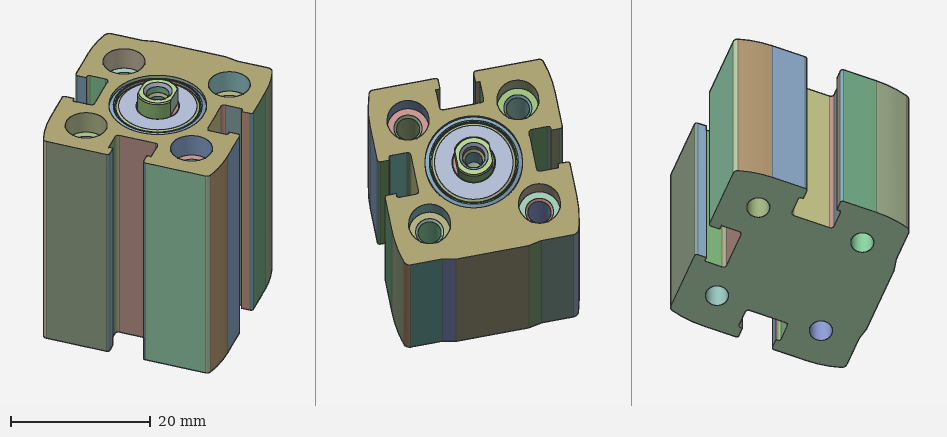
import cadquery as cq
import math

total_height = 38.0
rod_exposed = 2.5
housing_height = total_height - rod_exposed
housing_width = 27.0
half_width = housing_width / 2
housing_depth = 27.5
front_y = -half_width
pad_y = front_y + housing_depth
shoulder_y = 13.6

flank_flat_half = 8.0
flank_radius = 16.72
front_corner_radius = 0.7
rear_corner_radius = 0.9
pad_half_width = 5.32
pad_base_half_width = 7.22

slot_floor_offset = 8.63
slot_half_width = 3.23
slot_mouth_half_width = 2.6
slot_lip = 1.7
slot_floor_fillet = 0.5
slot_inner_fillet = 0.3
slot_mouth_round = 0.38

mount_offset = 8.0
mount_bore_dia = 3.3
mount_chamfer_dia = 4.03
mount_counterbore_dia = 6.0
mount_counterbore_depth = 3.5

groove_radius = 14.0 / 2
groove_depth = 0.55
crest_outer_radius = 6.4
crest_inner_radius = 6.2
crest_depth = 0.15
cap_rim_depth = 0.57
cap_bevel_radius = 12.0 / 2
cap_bevel_depth = 0.38
cap_face_radius = 5.62
cap_face_depth = 0.2
cap_face_z = housing_height - cap_face_depth

rod_radius = 6.0 / 2
rod_length = 15.2
rod_bottom_z = total_height - rod_length
rod_top_chamfer = 0.2
rod_hole_chamfer = 0.1
flat_half_width = 2.5
flat_runout_angle = 30.0
thread_chamfer_radius = 4.15 / 2
thread_recess_radius = 3.23 / 2
thread_recess_depth = 1.52
thread_core_radius = 2.47 / 2
thread_core_depth = 6.08
drill_tip_angle = 30.0


def flank_x(y):
    """Half width of the housing on the curved part of a flank."""
    return half_width - flank_radius + math.sqrt(flank_radius**2 - (abs(y) - flank_flat_half) ** 2)


def housing_blank():
    """Solid profile with curved flanks, rounded corners and the +Y pad."""
    front_x = flank_x(front_y)
    rear_x = flank_x(shoulder_y)
    front_mid_y = (front_y - flank_flat_half) / 2
    rear_mid_y = (shoulder_y + flank_flat_half) / 2
    front_mid_x = flank_x(front_mid_y)
    rear_mid_x = flank_x(rear_mid_y)
    blank = (
        cq.Workplane("XY")
        .moveTo(-front_x, front_y)
        .lineTo(front_x, front_y)
        .threePointArc((front_mid_x, front_mid_y), (half_width, -flank_flat_half))
        .lineTo(half_width, flank_flat_half)
        .threePointArc((rear_mid_x, rear_mid_y), (rear_x, shoulder_y))
        .lineTo(-rear_x, shoulder_y)
        .threePointArc((-rear_mid_x, rear_mid_y), (-half_width, flank_flat_half))
        .lineTo(-half_width, -flank_flat_half)
        .threePointArc((-front_mid_x, front_mid_y), (-front_x, front_y))
        .close()
        .extrude(housing_height)
    )
    corner_pairs = (
        (front_x, front_y, front_corner_radius),
        (rear_x, shoulder_y, rear_corner_radius),
    )
    for corner_x, corner_y, corner_radius in corner_pairs:
        for x in (-corner_x, corner_x):
            corner_edge = cq.selectors.NearestToPointSelector((x, corner_y, housing_height / 2))
            blank = blank.edges(corner_edge).fillet(corner_radius)
    pad = (
        cq.Workplane("XY")
        .polyline([
            (-pad_base_half_width, shoulder_y),
            (-pad_half_width, pad_y),
            (pad_half_width, pad_y),
            (pad_base_half_width, shoulder_y),
        ])
        .close()
        .extrude(housing_height)
    )
    return blank.union(pad)


def slot_cutter(inner_fillet):
    """Slot open towards -Y, with a rounded floor and mouth; an inner fillet of 0 leaves sharp lip roots."""
    lip_y = front_y + slot_lip
    channel_depth = -slot_floor_offset - lip_y
    channel = (
        cq.Workplane("XY")
        .center(0, lip_y + channel_depth / 2)
        .rect(2 * slot_half_width, channel_depth)
        .extrude(housing_height)
        .edges("|Z and >Y")
        .fillet(slot_floor_fillet)
    )
    if inner_fillet:
        channel = channel.edges("|Z and <Y").fillet(inner_fillet)
    rounded_mouth_half_width = slot_mouth_half_width + slot_mouth_round
    round_start_y = front_y + slot_mouth_round
    arc_inset = slot_mouth_round * (1 - math.sqrt(0.5))
    arc_mid_x = slot_mouth_half_width + arc_inset
    arc_mid_y = front_y + arc_inset
    mouth = (
        cq.Workplane("XY")
        .moveTo(-slot_mouth_half_width, lip_y)
        .lineTo(slot_mouth_half_width, lip_y)
        .lineTo(slot_mouth_half_width, round_start_y)
        .threePointArc((arc_mid_x, arc_mid_y), (rounded_mouth_half_width, front_y))
        .lineTo(-rounded_mouth_half_width, front_y)
        .threePointArc((-arc_mid_x, arc_mid_y), (-slot_mouth_half_width, round_start_y))
        .close()
        .extrude(housing_height)
    )
    return channel.union(mouth)


def mounting_hole():
    """Through hole with a chamfered edge at the floor of its counterbore, on the Z axis."""
    bore_radius = mount_bore_dia / 2
    chamfer_radius = mount_chamfer_dia / 2
    counterbore_radius = mount_counterbore_dia / 2
    floor_z = housing_height - mount_counterbore_depth
    return (
        cq.Workplane("XZ")
        .polyline([
            (0, 0),
            (bore_radius, 0),
            (bore_radius, floor_z - (chamfer_radius - bore_radius)),
            (chamfer_radius, floor_z),
            (counterbore_radius, floor_z),
            (counterbore_radius, housing_height),
            (0, housing_height),
        ])
        .close()
        .revolve(360, (0, 0), (0, 1))
    )


def cap_recess():
    """Recess that shapes the end cap and bores the blind hole for the rod."""
    return (
        cq.Workplane("XZ")
        .polyline([
            (0, rod_bottom_z),
            (rod_radius, rod_bottom_z),
            (rod_radius, cap_face_z - rod_hole_chamfer),
            (rod_radius + rod_hole_chamfer, cap_face_z),
            (cap_face_radius, cap_face_z),
            (cap_bevel_radius, housing_height - cap_bevel_depth),
            (crest_inner_radius, housing_height - cap_rim_depth),
            (crest_inner_radius, housing_height - crest_depth),
            (crest_outer_radius, housing_height - crest_depth),
            (groove_radius, housing_height - groove_depth),
            (groove_radius, housing_height),
            (0, housing_height),
        ])
        .close()
        .revolve(360, (0, 0), (0, 1))
    )


def make_housing():
    housing = housing_blank()
    side_slot = slot_cutter(slot_inner_fillet)
    for angle in (-90, 90):
        housing = housing.cut(side_slot.rotate((0, 0, 0), (0, 0, 1), angle))
    housing = housing.cut(slot_cutter(0))
    for x in (-mount_offset, mount_offset):
        for y in (-mount_offset, mount_offset):
            housing = housing.cut(mounting_hole().translate((x, y, 0)))
    return housing.cut(cap_recess())


def thread_hole():
    """Chamfered recess stepping down to the thread core and a conical drill tip."""
    chamfer_bottom_z = total_height - (thread_chamfer_radius - thread_recess_radius)
    recess_bottom_z = total_height - thread_recess_depth
    core_top_z = recess_bottom_z - (thread_recess_radius - thread_core_radius)
    core_bottom_z = total_height - thread_core_depth
    tip_z = core_bottom_z - thread_core_radius * math.tan(math.radians(drill_tip_angle))
    return (
        cq.Workplane("XZ")
        .polyline([
            (0, tip_z),
            (thread_core_radius, core_bottom_z),
            (thread_core_radius, core_top_z),
            (thread_recess_radius, recess_bottom_z),
            (thread_recess_radius, chamfer_bottom_z),
            (thread_chamfer_radius, total_height),
            (0, total_height),
        ])
        .close()
        .revolve(360, (0, 0), (0, 1))
    )


def wrench_flat():
    """Cutter for the +X flat; its lower end slopes down and outwards from the cap face."""
    runout_drop = (rod_radius - flat_half_width) * math.tan(math.radians(flat_runout_angle))
    return (
        cq.Workplane("XZ")
        .polyline([
            (flat_half_width, cap_face_z),
            (rod_radius, cap_face_z - runout_drop),
            (rod_radius, total_height),
            (flat_half_width, total_height),
        ])
        .close()
        .extrude(rod_radius, both=True)
    )


def make_piston_rod():
    rod = (
        cq.Workplane("XY", origin=(0, 0, rod_bottom_z))
        .circle(rod_radius)
        .extrude(rod_length)
        .faces(">Z")
        .chamfer(rod_top_chamfer)
    )
    for angle in (0, 180):
        rod = rod.cut(wrench_flat().rotate((0, 0, 0), (0, 0, 1), angle))
    return rod.cut(thread_hole())


housing = make_housing()
piston_rod = make_piston_rod()

result = cq.Compound.makeCompound([housing.solids().val(), piston_rod.solids().val()])